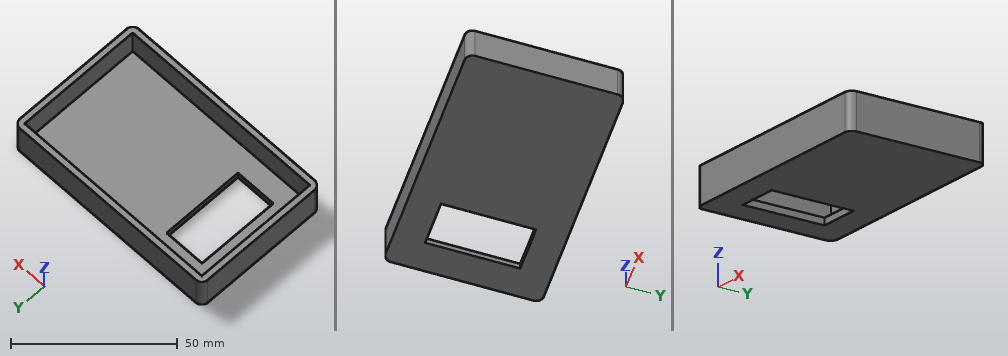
import cadquery as cq

length = 80.0
width = 50.0
height = 13.0
corner_radius = 2.5

wall = 2.2
floor = 2.5

window_length = 15.0
window_width = 30.0
window_end_gap = 10.0


def make_body():
    """Solid block with rounded vertical edges, resting on Z = 0."""
    block = cq.Workplane("XY").box(length, width, height, centered=(True, True, False))
    return block.edges("|Z").fillet(corner_radius)


def make_cavity():
    """Volume above the floor, inside the walls."""
    return (
        cq.Workplane("XY")
        .workplane(offset=floor)
        .rect(length - 2 * wall, width - 2 * wall)
        .extrude(height - floor)
    )


def make_window():
    """Volume of the window through the floor."""
    center_x = -length / 2 + window_end_gap + window_length / 2
    return cq.Workplane("XY").center(center_x, 0).rect(window_length, window_width).extrude(floor)


result = make_body().cut(make_cavity()).cut(make_window())